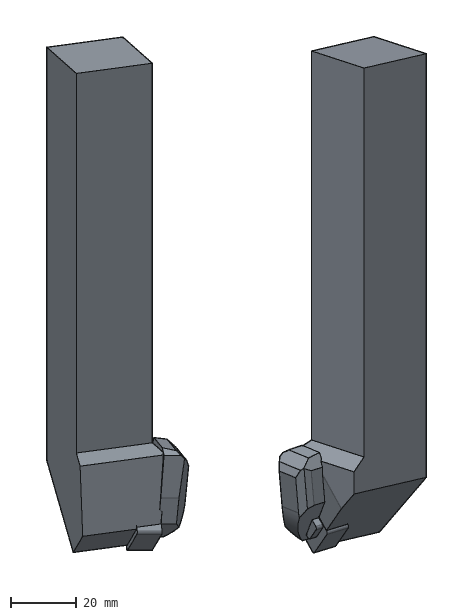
import cadquery as cq


overall_height = 159.51
shank_size = 25.0
flare_start_z = 35.6
flare_size_x = 3.2
flare_size_y = 4.0
head_depth = shank_size + flare_size_y
head_left_z = 24.55
head_tip_z = 2.2
head_tip_x = head_left_z - head_tip_z
head_right_x = 30.4
head_right_z = head_tip_z + head_right_x - head_tip_x

seat_angle = 8.0
seat_break_x = 6.0
seat_break_z = head_left_z - seat_break_x
seat_point = cq.Vector(seat_break_x, head_depth, seat_break_z)
break_direction = cq.Vector(1, 0, 1)
seat_cut_size = 2 * head_depth

insert_size = 12.7
insert_thickness = 7.94
insert_nose_radius = 0.8
insert_slope_start = 13.32
insert_offset = -0.94

plate_slope_start = insert_slope_start + 0.3
plate_offset = insert_offset + 2.6
plate_corner_radius = 0.8
plate_slope_length = 7.0
plate_depth = 8.0
plate_thickness = 2.5

clamp_base_y = head_depth - 0.8
clamp_top_y = 37.25
clamp_left_x = 15.0
clamp_right_x = 30.1
clamp_flat_left_x = 17.5
clamp_flat_right_x = 26.5
clamp_end_z = 34.0
clamp_nose_z = 3.4
clamp_nose_y = 31.0
clamp_nose_start_z = 16.5
clamp_nose_mid_point = (36.3, 11.0)
clamp_end_bevel = [(32.5, 33.4), (36.0, 30.4), (clamp_top_y, 28.0)]
clamp_plan_outline = [
    (clamp_left_x, 18.5),
    (clamp_left_x, 29.8),
    (16.9, clamp_end_z),
    (clamp_flat_right_x, clamp_end_z),
    (29.1, 32.4),
    (clamp_right_x, 19.0),
    (clamp_right_x, 10.6),
    (24.5, 4.4),
]
clamp_section_outline = [
    (clamp_left_x, clamp_base_y),
    (clamp_left_x, 33.0),
    (15.5, 35.2),
    (clamp_flat_left_x, clamp_top_y),
    (clamp_flat_right_x, clamp_top_y),
    (clamp_right_x, 34.0),
    (clamp_right_x, clamp_base_y),
]


def tilt_to_seat(body):
    """Lean a body built square to the axes so that it stands on the seat."""
    return body.rotate(seat_point.toTuple(), (seat_point + break_direction).toTuple(), -seat_angle)


def seat_block(slope_start, offset, slope_length, depth, bottom, top):
    """Untilted block with sides at 45 degrees; bottom and top are heights above the seat.

    The plane's local Y axis points out of the head along (-1, 0, -1), so the offset is negated.
    """
    plane = cq.Plane(origin=seat_point.toTuple(), xDir=(1, 0, -1), normal=(0, 1, 0))
    return (
        cq.Workplane(plane)
        .workplane(offset=bottom)
        .center(slope_start + slope_length / 2, -(offset + depth / 2))
        .rect(slope_length, depth)
        .extrude(top - bottom)
    )


def make_shank_and_head():
    """Square shank widening at 45 degrees into the pointed head."""
    shank_length = overall_height - flare_start_z
    shank = (
        cq.Workplane("XY", origin=(0, 0, flare_start_z))
        .rect(shank_size, shank_size, centered=False)
        .extrude(shank_length)
    )

    front_outline = [
        (0, head_left_z),
        (0, flare_start_z),
        (shank_size, flare_start_z),
        (shank_size + flare_size_x, flare_start_z - flare_size_x),
        (head_right_x, head_right_z),
        (head_tip_x, head_tip_z),
    ]
    head = cq.Workplane("XZ").polyline(front_outline).close().extrude(-head_depth)

    flare_cut_outline = [
        (shank_size, flare_start_z),
        (head_depth, flare_start_z),
        (head_depth, flare_start_z - flare_size_y),
    ]
    flare_cut = cq.Workplane("YZ").polyline(flare_cut_outline).close().extrude(head_right_x)

    above_seat = tilt_to_seat(
        seat_block(0, -seat_cut_size / 2, seat_cut_size, seat_cut_size, 0, head_depth)
    )
    return shank.union(head.cut(flare_cut).cut(above_seat))


def make_clamp():
    """Clamp shape common to its side profile, plan outline and cross section."""
    side_profile = (
        cq.Workplane("YZ")
        .moveTo(clamp_base_y, clamp_nose_z)
        .lineTo(clamp_base_y, clamp_end_z)
        .polyline(clamp_end_bevel, includeCurrent=True)
        .lineTo(clamp_top_y, clamp_nose_start_z)
        .threePointArc(clamp_nose_mid_point, (clamp_nose_y, clamp_nose_z))
        .close()
        .extrude(clamp_right_x)
    )
    plan = cq.Workplane("XZ").polyline(clamp_plan_outline).close().extrude(-clamp_top_y)
    section = cq.Workplane("XY").polyline(clamp_section_outline).close().extrude(clamp_end_z)
    return tilt_to_seat(side_profile.intersect(plan).intersect(section))


def make_plate():
    """Small block on the insert face under the clamp nose."""
    plate = seat_block(plate_slope_start, plate_offset, plate_slope_length, plate_depth, 0, plate_thickness)
    return tilt_to_seat(plate.edges("|Y").fillet(plate_corner_radius))


def make_insert():
    """Square cutting insert with rounded corners, sunk below the seat level."""
    block = seat_block(insert_slope_start, insert_offset, insert_size, insert_size, -insert_thickness, 0)
    return tilt_to_seat(block.edges("|Y").fillet(insert_nose_radius))


insert = make_insert()
holder = make_shank_and_head().union(make_clamp()).union(make_plate()).cut(insert)

result = cq.Compound.makeCompound([*holder.solids().vals(), insert.val()])